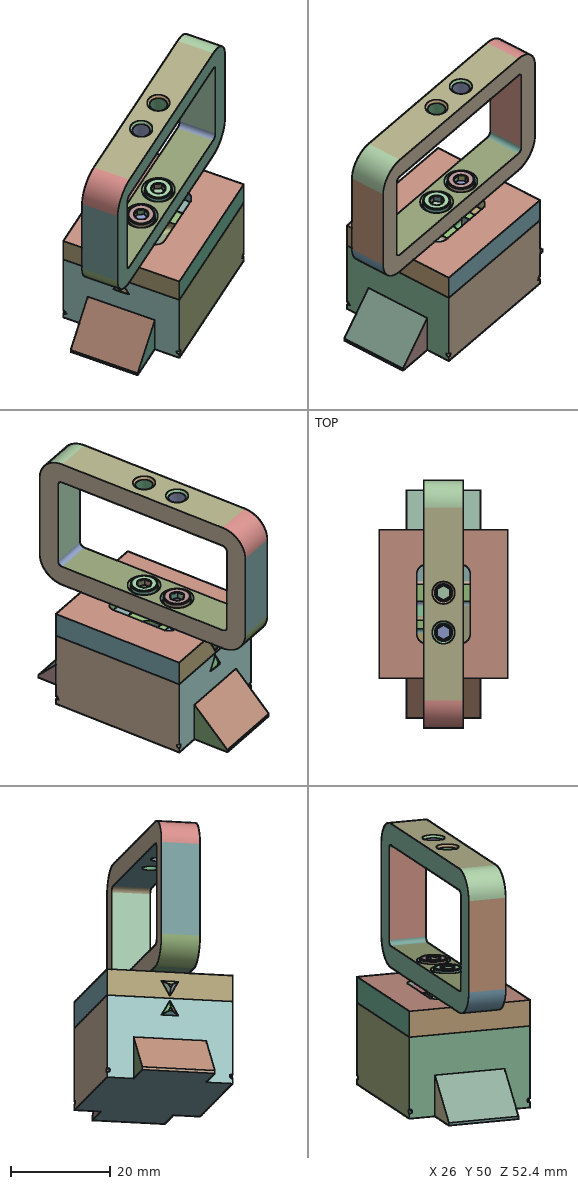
import cadquery as cq
import math

BLOCK_X = 26.0
BLOCK_Y = 30.0
BASE_HEIGHT = 17.0
FOOT_WIDTH = 15.0
FOOT_REACH = 8.0
FOOT_TIP = 0.6
CORNER_HOLE_DIAMETER = 0.85
CORNER_HOLE_Z = 1.5
CORNER_HOLE_DEPTH = 1.5

ARROW_SIDE = 3.5
ARROW_HEIGHT = ARROW_SIDE * math.sqrt(3) / 2
ARROW_RELIEF = 0.75
ARROW_GAP = 0.5

COVER_TOP = 22.4
RECESS_X = 10.8
RECESS_Y = 16.0
RECESS_CORNER = 2.0
BRIDGE_DEPTH = 1.85
DEEP_DEPTH = 3.85
BRIDGE_BACK = 4.0
BRIDGE_FRONT = 0.57
BACK_STEP = 0.6
FRONT_STEP = 0.85
ARM_BACK = -3.24
ARM_FRONT = -5.0
WEB_HALF = 2.1
WEB_CORNER = 1.85
WALL_FOOT_RADIUS = 0.85
SELECT_MARGIN = 0.1

HANDLE_X = 8.0
HANDLE_Y = 50.0
HANDLE_Z = 30.0
HANDLE_BAR = 4.5
HANDLE_INNER_RADIUS = 1.0
HANDLE_OUTER_RADIUS = HANDLE_INNER_RADIUS + HANDLE_BAR
TOOL_HOLE_DIAMETER = 3.55
HEAD_BORE_DIAMETER = 5.7
HOLE_CHAMFER = 0.5

SCREW_PITCH = 8.0
SCREW_MIDPOINT_Y = -1.72
SCREW_POSITIONS = [
    (0, SCREW_MIDPOINT_Y + SCREW_PITCH / 2),
    (0, SCREW_MIDPOINT_Y - SCREW_PITCH / 2),
]
SHANK_DIAMETER = 3.0
HEAD_DIAMETER = 5.5
HEAD_HEIGHT = 3.0
HEAD_CHAMFER = 0.2
HEAD_PROTRUSION = 0.5
SOCKET_CORNERS = 3.0
SOCKET_MOUTH_DEPTH = 0.2
SOCKET_DEPTH = 1.5

FRONT_Y = -BLOCK_Y / 2
HANDLE_TOP = COVER_TOP + HANDLE_Z
BAR_TOP = COVER_TOP + HANDLE_BAR
HEAD_TOP = BAR_TOP + HEAD_PROTRUSION
HEAD_SEAT = HEAD_TOP - HEAD_HEIGHT
BRIDGE_TOP = COVER_TOP - BRIDGE_DEPTH
DEEP_FLOOR = COVER_TOP - DEEP_DEPTH


def make_arrow(flat_z, tip_z):
    """Blunt triangular pyramid with 45 degree sides on the front face, pointing from flat_z to tip_z."""
    return (
        cq.Workplane("XZ", origin=(0, FRONT_Y, 0))
        .polyline([(-ARROW_SIDE / 2, flat_z), (ARROW_SIDE / 2, flat_z), (0, tip_z)])
        .close()
        .extrude(ARROW_RELIEF, taper=45)
    )


def make_base():
    block = cq.Workplane().box(BLOCK_X, BLOCK_Y, BASE_HEIGHT, centered=(True, True, False))

    root_y = BLOCK_Y / 2
    tip_y = root_y + FOOT_REACH
    root_z = FOOT_TIP + FOOT_REACH
    feet = (
        cq.Workplane("YZ")
        .polyline([
            (-tip_y, 0), (tip_y, 0), (tip_y, FOOT_TIP), (root_y, root_z),
            (-root_y, root_z), (-tip_y, FOOT_TIP),
        ])
        .close()
        .extrude(FOOT_WIDTH / 2, both=True)
    )
    base = block.union(feet)

    for side_x in (-1, 1):
        for side_y in (-1, 1):
            hole = cq.Solid.makeCylinder(
                CORNER_HOLE_DIAMETER / 2,
                2 * CORNER_HOLE_DEPTH,
                cq.Vector(
                    side_x * (BLOCK_X / 2 + CORNER_HOLE_DEPTH / math.sqrt(2)),
                    side_y * (BLOCK_Y / 2 + CORNER_HOLE_DEPTH / math.sqrt(2)),
                    CORNER_HOLE_Z,
                ),
                cq.Vector(-side_x, -side_y, 0),
            )
            base = base.cut(cq.Workplane(obj=hole))

    tip_z = BASE_HEIGHT - ARROW_GAP
    return base.union(make_arrow(tip_z - ARROW_HEIGHT, tip_z))


def make_deep_pocket():
    """Deep parts of the recess, on both sides of the bridge's web."""
    half_x = RECESS_X / 2
    pocket = (
        cq.Workplane()
        .workplane(offset=DEEP_FLOOR)
        .polyline([
            (-half_x, BRIDGE_FRONT), (-WEB_HALF, BRIDGE_FRONT),
            (-WEB_HALF, ARM_BACK), (-half_x, ARM_BACK),
        ])
        .close()
        .polyline([
            (WEB_HALF, BRIDGE_FRONT), (half_x, BRIDGE_FRONT),
            (half_x, -RECESS_Y / 2), (WEB_HALF, -RECESS_Y / 2),
        ])
        .close()
        .extrude(BRIDGE_TOP - DEEP_FLOOR)
    )
    web_corners = cq.selectors.BoxSelector(
        (-WEB_HALF - SELECT_MARGIN, BRIDGE_FRONT - SELECT_MARGIN, DEEP_FLOOR),
        (WEB_HALF + SELECT_MARGIN, BRIDGE_FRONT + SELECT_MARGIN, BRIDGE_TOP),
    )
    pocket = pocket.edges("|Z").edges(web_corners).fillet(WEB_CORNER)

    wall_feet = cq.selectors.BoxSelector(
        (-half_x, ARM_BACK - SELECT_MARGIN, DEEP_FLOOR - SELECT_MARGIN),
        (half_x, BRIDGE_FRONT + SELECT_MARGIN, DEEP_FLOOR + SELECT_MARGIN),
    )
    return pocket.edges("|X").edges(wall_feet).fillet(WALL_FOOT_RADIUS)


def make_end_pocket(start_y, end_y, step, right_x):
    """Shallow pocket at one end of the recess, with a quarter-round step up to the bridge at start_y."""
    left_x = -RECESS_X / 2
    foot_y = start_y + math.copysign(step, end_y - start_y)
    pocket_floor = BRIDGE_TOP - step
    flat = cq.Workplane().box(right_x - left_x, abs(end_y - start_y), step, centered=False)
    flat = flat.translate((left_x, min(start_y, end_y), pocket_floor))
    corner = cq.Workplane().box(right_x - left_x, step, step, centered=False)
    corner = corner.translate((left_x, min(start_y, foot_y), pocket_floor))
    round_part = (
        cq.Workplane("YZ", origin=(left_x, 0, 0))
        .center(foot_y, BRIDGE_TOP)
        .circle(step)
        .extrude(right_x - left_x)
    )
    return flat.cut(corner).union(corner.intersect(round_part))


def make_recess():
    """Rounded recess volume with a bridge left standing inside it."""
    outline = (
        cq.Workplane()
        .workplane(offset=DEEP_FLOOR)
        .rect(RECESS_X, RECESS_Y)
        .extrude(COVER_TOP - DEEP_FLOOR)
        .edges("|Z")
        .fillet(RECESS_CORNER)
    )
    above_bridge = (
        cq.Workplane()
        .workplane(offset=BRIDGE_TOP)
        .rect(RECESS_X, RECESS_Y)
        .extrude(BRIDGE_DEPTH)
    )
    back_pocket = make_end_pocket(BRIDGE_BACK, RECESS_Y / 2, BACK_STEP, RECESS_X / 2)
    front_pocket = make_end_pocket(ARM_FRONT, -RECESS_Y / 2, FRONT_STEP, WEB_HALF)
    recess = above_bridge.union(make_deep_pocket()).union(back_pocket).union(front_pocket)
    return recess.intersect(outline)


def make_shank_holes():
    return (
        cq.Workplane()
        .workplane(offset=BASE_HEIGHT)
        .pushPoints(SCREW_POSITIONS)
        .circle(SHANK_DIAMETER / 2)
        .extrude(HEAD_SEAT - BASE_HEIGHT)
    )


def make_cover():
    cover = (
        cq.Workplane()
        .workplane(offset=BASE_HEIGHT)
        .rect(BLOCK_X, BLOCK_Y)
        .extrude(COVER_TOP - BASE_HEIGHT)
        .cut(make_recess())
        .cut(make_shank_holes())
    )
    tip_z = BASE_HEIGHT + ARROW_GAP
    return cover.union(make_arrow(tip_z + ARROW_HEIGHT, tip_z))


def make_chamfered_hole(position, diameter, bottom, top):
    """Round hole volume whose top edge is countersunk."""
    hole = cq.Workplane().workplane(offset=bottom).center(*position).circle(diameter / 2).extrude(top - bottom)
    mouth = (
        cq.Workplane()
        .workplane(offset=top)
        .center(*position)
        .circle(diameter / 2 + HOLE_CHAMFER)
        .extrude(-HOLE_CHAMFER, taper=45)
    )
    return hole.union(mouth)


def make_handle():
    middle_z = COVER_TOP + HANDLE_Z / 2
    outer = (
        cq.Workplane()
        .box(HANDLE_X, HANDLE_Y, HANDLE_Z)
        .edges("|X")
        .fillet(HANDLE_OUTER_RADIUS)
    )
    opening = (
        cq.Workplane()
        .box(HANDLE_X, HANDLE_Y - 2 * HANDLE_BAR, HANDLE_Z - 2 * HANDLE_BAR)
        .edges("|X")
        .fillet(HANDLE_INNER_RADIUS)
    )
    handle = outer.cut(opening).translate((0, 0, middle_z)).cut(make_shank_holes())
    for position in SCREW_POSITIONS:
        handle = handle.cut(make_chamfered_hole(position, HEAD_BORE_DIAMETER, HEAD_SEAT, BAR_TOP))
        handle = handle.cut(
            make_chamfered_hole(position, TOOL_HOLE_DIAMETER, HANDLE_TOP - HANDLE_BAR, HANDLE_TOP)
        )
    return handle


def make_screw(position):
    head = (
        cq.Workplane()
        .workplane(offset=HEAD_SEAT)
        .circle(HEAD_DIAMETER / 2)
        .extrude(HEAD_HEIGHT)
        .faces(">Z")
        .chamfer(HEAD_CHAMFER)
    )
    shank = (
        cq.Workplane()
        .workplane(offset=BASE_HEIGHT)
        .circle(SHANK_DIAMETER / 2)
        .extrude(HEAD_SEAT - BASE_HEIGHT)
    )
    socket = (
        cq.Workplane()
        .workplane(offset=HEAD_TOP - SOCKET_DEPTH)
        .transformed(rotate=(0, 0, 90))
        .polygon(6, SOCKET_CORNERS)
        .extrude(SOCKET_DEPTH)
    )
    mouth = (
        cq.Workplane()
        .workplane(offset=HEAD_TOP)
        .circle(SOCKET_CORNERS / 2)
        .extrude(-SOCKET_MOUTH_DEPTH, taper=45)
    )
    return head.union(shank).cut(socket).cut(mouth).translate((*position, 0))


base = make_base()
cover = make_cover()
handle = make_handle()
screws = [make_screw(position) for position in SCREW_POSITIONS]

result = cq.Compound.makeCompound([
    base.val(),
    cover.val(),
    handle.val(),
    *[screw.val() for screw in screws],
])